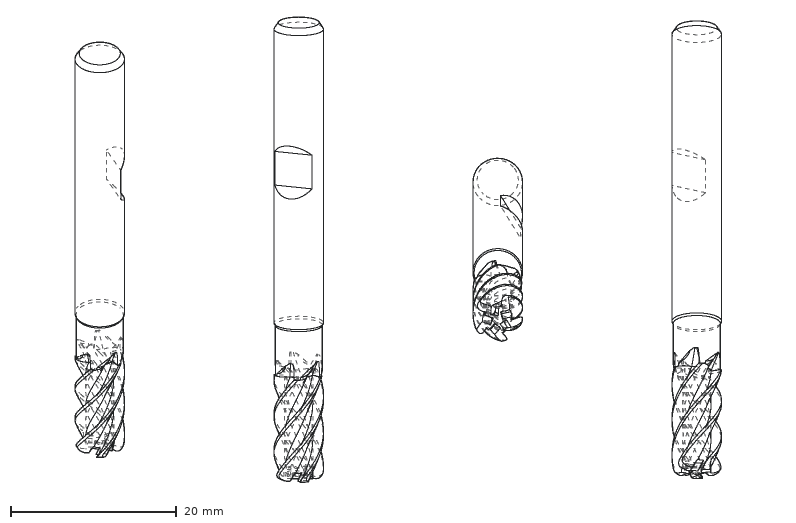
import cadquery as cq
import math

TOTAL_LENGTH = 57.0
DIAMETER = 6.0
SHANK_RADIUS = DIAMETER / 2
CUTTING_LENGTH = 13.0

NECK_RADIUS = 2.85
SHANK_START = 19.4
SHOULDER_HEIGHT = 0.3
TOP_CHAMFER_WIDTH = 0.5
TOP_CHAMFER_HEIGHT = 0.8

FLAT_DEPTH = 1.2
FLAT_LENGTH = 4.2
FLAT_CENTER_Z = 39.0
FLAT_SIDE_ANGLE = 45.0

TOOTH_COUNT = 5
TOOTH_PITCH_ANGLE = 360 / TOOTH_COUNT
HELIX_LEAD = 22.5
HEAD_TWIST = 360 * CUTTING_LENGTH / HELIX_LEAD
FIRST_EDGE_ANGLE = 35.4
CORE_RADIUS = 1.7
MARGIN_ANGLE = 9.0
BACK_END_ANGLE = 46.0
RAKE_FOOT_ANGLE = 84.0
BACK_MIDDLE_RADIUS = 2.45
BACK_MIDDLE_ANGLE = 28.0
RAKE_MIDDLE_RADIUS = 2.3
RAKE_MIDDLE_ANGLE = 78.5
CORNER_RADIUS = 0.95

RUNOUT_LENGTH = 2.0
RUNOUT_END_RADIUS = 2.75
RUNOUT_END_ANGLE = 15.0
RUNOUT_END_FLOOR_ANGLE = RUNOUT_END_ANGLE / 3

GASH_DEPTH = 1.0
GASH_FLOOR_WIDTH = 0.8
GASH_MOUTH_WIDTH = 0.9
GASH_WALL_LEAN = 0.45
GASH_INNER_RADIUS = 0.55


def polar(radius, angle):
    return (radius * math.cos(math.radians(angle)), radius * math.sin(math.radians(angle)))


def tooth_section():
    """Closed cross-section of all the teeth at the cutting end."""
    outline = cq.Workplane("XY").moveTo(*polar(SHANK_RADIUS, FIRST_EDGE_ANGLE))
    for index in range(TOOTH_COUNT):
        edge = FIRST_EDGE_ANGLE + index * TOOTH_PITCH_ANGLE
        core_middle = edge + (BACK_END_ANGLE + RAKE_FOOT_ANGLE) / 2
        outline = (
            outline
            .threePointArc(
                polar(SHANK_RADIUS, edge + MARGIN_ANGLE / 2), polar(SHANK_RADIUS, edge + MARGIN_ANGLE)
            )
            .threePointArc(
                polar(BACK_MIDDLE_RADIUS, edge + BACK_MIDDLE_ANGLE), polar(CORE_RADIUS, edge + BACK_END_ANGLE)
            )
            .threePointArc(polar(CORE_RADIUS, core_middle), polar(CORE_RADIUS, edge + RAKE_FOOT_ANGLE))
            .threePointArc(
                polar(RAKE_MIDDLE_RADIUS, edge + RAKE_MIDDLE_ANGLE),
                polar(SHANK_RADIUS, edge + TOOTH_PITCH_ANGLE),
            )
        )
    return outline.close()


def end_gash(edge_angle):
    """Notch in the end face, its leading wall rising from a cutting edge and leaning under the tooth."""
    profile = (
        cq.Workplane("YZ")
        .workplane(offset=GASH_INNER_RADIUS)
        .polyline([
            (0, 0),
            (GASH_WALL_LEAN, GASH_DEPTH),
            (GASH_WALL_LEAN - GASH_FLOOR_WIDTH, GASH_DEPTH),
            (-GASH_MOUTH_WIDTH, 0),
        ])
        .close()
    )
    return profile.extrude(SHANK_RADIUS).rotate((0, 0, 0), (0, 0, 1), edge_angle)


def make_cutting_head():
    teeth = tooth_section().twistExtrude(CUTTING_LENGTH, HEAD_TWIST)
    envelope = (
        cq.Workplane("XY")
        .circle(SHANK_RADIUS)
        .extrude(CUTTING_LENGTH)
        .faces("<Z")
        .edges()
        .fillet(CORNER_RADIUS)
    )
    head = teeth.intersect(envelope)
    for index in range(TOOTH_COUNT):
        head = head.cut(end_gash(FIRST_EDGE_ANGLE + index * TOOTH_PITCH_ANGLE))
    return head.solids()


def clamping_flat():
    floor_y = SHANK_RADIUS - FLAT_DEPTH
    half_floor = FLAT_LENGTH / 2
    half_mouth = half_floor + FLAT_DEPTH / math.tan(math.radians(FLAT_SIDE_ANGLE))
    return (
        cq.Workplane("YZ")
        .polyline([
            (floor_y, FLAT_CENTER_Z - half_floor),
            (floor_y, FLAT_CENTER_Z + half_floor),
            (SHANK_RADIUS, FLAT_CENTER_Z + half_mouth),
            (SHANK_RADIUS, FLAT_CENTER_Z - half_mouth),
        ])
        .close()
        .extrude(SHANK_RADIUS, both=True)
    )


def runout_section(base_z, floor_radius, middle_radius, back_top, back_foot, rake_foot, rake_top):
    """Section across one flute as it fades out, from the back of one tooth to the rake face of the next."""
    return (
        cq.Workplane("XY")
        .workplane(offset=base_z)
        .moveTo(*polar(SHANK_RADIUS, back_top))
        .threePointArc(
            polar(middle_radius, (back_top + back_foot) / 2), polar(floor_radius, back_foot)
        )
        .threePointArc(polar(floor_radius, (back_foot + rake_foot) / 2), polar(floor_radius, rake_foot))
        .lineTo(*polar(SHANK_RADIUS, rake_top))
        .threePointArc(polar(SHANK_RADIUS, (back_top + rake_top) / 2), polar(SHANK_RADIUS, back_top))
        .close()
        .val()
    )


def flute_runout(edge_angle):
    """Tapering end of one flute: it gets narrower and shallower, closing in on the upright rake side."""
    next_edge = edge_angle + TOOTH_PITCH_ANGLE
    end_back = next_edge - RUNOUT_END_ANGLE
    full_section = runout_section(
        CUTTING_LENGTH, CORE_RADIUS, BACK_MIDDLE_RADIUS,
        edge_angle + MARGIN_ANGLE, edge_angle + BACK_END_ANGLE, edge_angle + RAKE_FOOT_ANGLE, next_edge,
    )
    end_section = runout_section(
        CUTTING_LENGTH + RUNOUT_LENGTH, RUNOUT_END_RADIUS, NECK_RADIUS,
        end_back, end_back + RUNOUT_END_FLOOR_ANGLE, next_edge - RUNOUT_END_FLOOR_ANGLE, next_edge,
    )
    return cq.Workplane(cq.Solid.makeLoft([full_section, end_section], True))


def make_shank():
    body = (
        cq.Workplane("YZ")
        .polyline([
            (0, CUTTING_LENGTH),
            (-NECK_RADIUS, CUTTING_LENGTH),
            (-NECK_RADIUS, SHANK_START - SHOULDER_HEIGHT),
            (-SHANK_RADIUS, SHANK_START),
            (-SHANK_RADIUS, TOTAL_LENGTH - TOP_CHAMFER_HEIGHT),
            (-SHANK_RADIUS + TOP_CHAMFER_WIDTH, TOTAL_LENGTH),
            (0, TOTAL_LENGTH),
        ])
        .close()
        .revolve(360, (0, 0, 0), (0, 1, 0))
    )
    body = body.cut(clamping_flat())
    top_edge_angle = FIRST_EDGE_ANGLE + HEAD_TWIST
    for index in range(TOOTH_COUNT):
        body = body.cut(flute_runout(top_edge_angle + index * TOOTH_PITCH_ANGLE))
    return body.solids()


cutting_head = make_cutting_head()
shank = make_shank()

result = cq.Compound.makeCompound([cutting_head.val(), shank.val()])